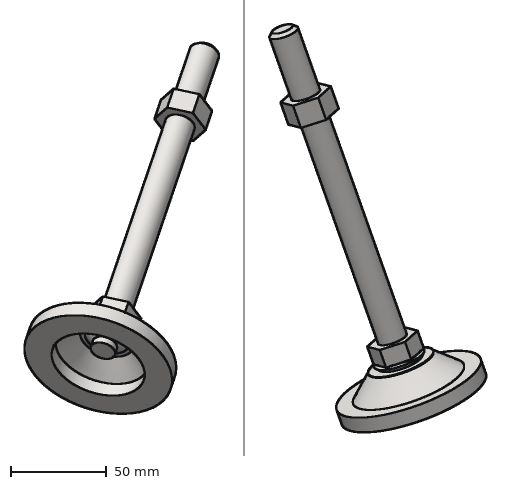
import cadquery as cq
import math

TOTAL_LENGTH = 215.0

FOOT_RADIUS = 40.0
FOOT_BAND_HEIGHT = 8.5
FOOT_CONE_BASE_RADIUS = 30.7
FOOT_CONE_TOP_RADIUS = 18.0
FOOT_RIM_HEIGHT = 0.5
FOOT_HEIGHT = 21.5
CAVITY_RADIUS = 25.2
CAVITY_STRAIGHT_DEPTH = 8.0
CAVITY_TOP_RADIUS = 14.6
CAVITY_DEPTH = 17.6

HEX_ACROSS_FLATS = 24.0
HEX_CIRCUMDIAMETER = HEX_ACROSS_FLATS / math.cos(math.pi / 6)

PLUG_RADIUS = 12.0
PLUG_TIP_RADIUS = 6.7
PLUG_TIP_POSITION = 9.5
PLUG_TAPER_START = 13.5
COLLAR_RADIUS = 14.0
COLLAR_EDGE_POSITION = 23.6
HEAD_HEX_START = 24.7
HEAD_HEX_HEIGHT = 10.3
HEAD_TOP = HEAD_HEX_START + HEAD_HEX_HEIGHT

STUD_RADIUS = 8.0
STUD_CHAMFER = 2.2

NUT_START = 164.0
NUT_HEIGHT = 13.0


def revolve_about_y(profile):
    """Revolve a closed XY profile of (radius, position) points about the Y axis."""
    return profile.close().revolve(360, (0, 0, 0), (0, 1, 0))


def hexagon(start, height):
    """Hexagonal prism along +Y with two flats facing +Z and -Z."""
    return (
        cq.Workplane("XZ", origin=(0, start, 0))
        .polygon(6, HEX_CIRCUMDIAMETER)
        .extrude(-height)
    )


def make_foot():
    """Flared foot, hollow underneath, with a bore for the swivel plug."""
    profile = cq.Workplane("XY").polyline([
        (CAVITY_RADIUS, 0),
        (FOOT_RADIUS, 0),
        (FOOT_RADIUS, FOOT_BAND_HEIGHT),
        (FOOT_CONE_BASE_RADIUS, FOOT_BAND_HEIGHT),
        (FOOT_CONE_TOP_RADIUS, FOOT_HEIGHT - FOOT_RIM_HEIGHT),
        (FOOT_CONE_TOP_RADIUS, FOOT_HEIGHT),
        (PLUG_RADIUS, FOOT_HEIGHT),
        (PLUG_RADIUS, CAVITY_DEPTH),
        (CAVITY_TOP_RADIUS, CAVITY_DEPTH),
        (CAVITY_RADIUS, CAVITY_STRAIGHT_DEPTH),
    ])
    return revolve_about_y(profile)


def make_swivel_head():
    """Hexagon on a bevelled collar, with a plug that passes through the foot."""
    profile = cq.Workplane("XY").polyline([
        (0, PLUG_TIP_POSITION),
        (PLUG_TIP_RADIUS, PLUG_TIP_POSITION),
        (PLUG_TIP_RADIUS, PLUG_TAPER_START),
        (PLUG_RADIUS, CAVITY_DEPTH),
        (PLUG_RADIUS, FOOT_HEIGHT),
        (COLLAR_RADIUS, COLLAR_EDGE_POSITION),
        (PLUG_RADIUS, HEAD_HEX_START),
        (0, HEAD_HEX_START),
    ])
    return revolve_about_y(profile).union(hexagon(HEAD_HEX_START, HEAD_HEX_HEIGHT))


def make_stud():
    """Plain round stud standing on the swivel head, chamfered at its free end."""
    return (
        cq.Workplane("XZ", origin=(0, HEAD_TOP, 0))
        .circle(STUD_RADIUS)
        .extrude(HEAD_TOP - TOTAL_LENGTH)
        .faces(">Y")
        .chamfer(STUD_CHAMFER)
    )


def make_lock_nut():
    """Hexagonal nut with a bore that fits the stud."""
    bore = cq.Workplane("XZ", origin=(0, NUT_START, 0)).circle(STUD_RADIUS).extrude(-NUT_HEIGHT)
    return hexagon(NUT_START, NUT_HEIGHT).cut(bore)


foot = make_foot()
swivel_head = make_swivel_head()
stud = make_stud()
lock_nut = make_lock_nut()

result = cq.Compound.makeCompound([foot.val(), swivel_head.val(), stud.val(), lock_nut.val()])